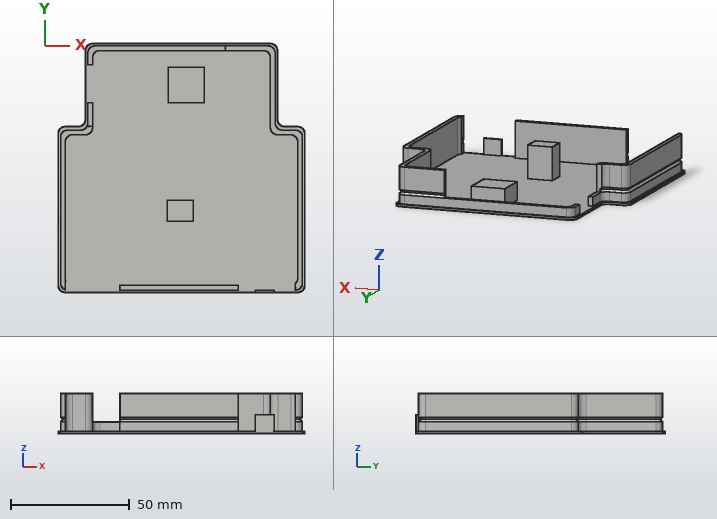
import cadquery as cq

PLATE_WIDTH = 104.0
PLATE_NECK_WIDTH = 81.0
PLATE_DEPTH = 105.0
PLATE_SHOULDER_Y = 17.5
PLATE_THICKNESS = 1.0
CORNER_RADIUS = 3.0

EDGE_MARGIN = 1.0
SHOULDER_MARGIN = 1.5
WALL_THICKNESS = 2.0
TOTAL_HEIGHT = 17.0
WALL_WIDTH = PLATE_WIDTH - 2 * EDGE_MARGIN
WALL_NECK_WIDTH = PLATE_NECK_WIDTH - 2 * EDGE_MARGIN
WALL_DEPTH = PLATE_DEPTH - 2 * EDGE_MARGIN
WALL_SHOULDER_Y = PLATE_SHOULDER_Y - SHOULDER_MARGIN
WALL_FRONT_Y = -WALL_DEPTH / 2
WALL_INNER_X = WALL_WIDTH / 2 - WALL_THICKNESS

GROOVE_BOTTOM_Z = 5.0
GROOVE_DEPTH = 1.0

LOW_WALL_RIGHT_X = 18.5
LOW_WALL_FRONT_Y = PLATE_SHOULDER_Y

SIDE_OPENING_Y = (27.5, 43.5)
FRONT_LEFT_OPENING_X = (-WALL_INNER_X, -26.0)
FRONT_RIGHT_OPENING_X = (24.0, 48.0)

TAB_LEFT_X = 31.0
TAB_WIDTH = 8.0
TAB_THICKNESS = EDGE_MARGIN
TAB_TOP_Z = 8.0

BACK_BLOCK_CORNER = (-5.5, 27.5)
BACK_BLOCK_SIZE = (15.0, 15.0)
BACK_BLOCK_TOP_Z = 9.0
MIDDLE_BLOCK_CORNER = (-6.0, -22.5)
MIDDLE_BLOCK_SIZE = (11.0, 9.0)
MIDDLE_BLOCK_TOP_Z = 15.5


def box_between(x_range, y_range, z_range):
    """Box spanning the given (low, high) range along each axis."""
    ranges = (x_range, y_range, z_range)
    lengths = [high - low for low, high in ranges]
    corner = tuple(low for low, _ in ranges)
    return cq.Workplane("XY").box(*lengths, centered=False).translate(corner)


def tee_prism(width, neck_width, depth, shoulder_y, inset, bottom_z, top_z):
    """Upright T-shaped prism, every side moved inwards by inset, with rounded corners."""
    half_width = width / 2 - inset
    half_neck = neck_width / 2 - inset
    half_depth = depth / 2 - inset
    step_y = shoulder_y - inset
    outline = [
        (-half_width, -half_depth),
        (half_width, -half_depth),
        (half_width, step_y),
        (half_neck, step_y),
        (half_neck, half_depth),
        (-half_neck, half_depth),
        (-half_neck, step_y),
        (-half_width, step_y),
    ]
    base = cq.Workplane("XY").workplane(offset=bottom_z).polyline(outline).close()
    prism = base.extrude(top_z - bottom_z)
    return prism.edges("|Z").fillet(CORNER_RADIUS)


def make_plate():
    return tee_prism(
        PLATE_WIDTH, PLATE_NECK_WIDTH, PLATE_DEPTH, PLATE_SHOULDER_Y, 0, 0, PLATE_THICKNESS
    )


def wall_prism(inset, bottom_z, top_z):
    """Solid prism with the wall's outer outline moved inwards by inset."""
    return tee_prism(
        WALL_WIDTH, WALL_NECK_WIDTH, WALL_DEPTH, WALL_SHOULDER_Y, inset, bottom_z, top_z
    )


def make_wall():
    """Closed wall with the groove, starting at the bottom of the plate."""
    groove_middle_z = GROOVE_BOTTOM_Z + GROOVE_DEPTH
    lower = wall_prism(0, 0, groove_middle_z).faces(">Z").chamfer(GROOVE_DEPTH)
    upper = wall_prism(0, groove_middle_z, TOTAL_HEIGHT).faces("<Z").chamfer(GROOVE_DEPTH)
    body = lower.union(upper)
    return body.cut(wall_prism(WALL_THICKNESS, 0, TOTAL_HEIGHT))


def cut_low_wall(wall):
    region = box_between(
        (-PLATE_WIDTH, LOW_WALL_RIGHT_X),
        (LOW_WALL_FRONT_Y, PLATE_DEPTH),
        (GROOVE_BOTTOM_Z, TOTAL_HEIGHT),
    )
    return wall.cut(region)


def cut_openings(wall):
    heights = (0, TOTAL_HEIGHT)
    wall = wall.cut(box_between((-PLATE_WIDTH / 2, 0), SIDE_OPENING_Y, heights))
    front_range = (WALL_FRONT_Y, WALL_FRONT_Y + 2 * WALL_THICKNESS)
    for opening in (FRONT_LEFT_OPENING_X, FRONT_RIGHT_OPENING_X):
        wall = wall.cut(box_between(opening, front_range, heights))
    return wall


def make_block(corner, size, top_z):
    x, y = corner
    width, depth = size
    return box_between((x, x + width), (y, y + depth), (0, top_z))


def make_tab():
    return make_block((TAB_LEFT_X, -PLATE_DEPTH / 2), (TAB_WIDTH, TAB_THICKNESS), TAB_TOP_Z)


result = (
    make_plate()
    .union(cut_openings(cut_low_wall(make_wall())))
    .union(make_tab())
    .union(make_block(BACK_BLOCK_CORNER, BACK_BLOCK_SIZE, BACK_BLOCK_TOP_Z))
    .union(make_block(MIDDLE_BLOCK_CORNER, MIDDLE_BLOCK_SIZE, MIDDLE_BLOCK_TOP_Z))
)